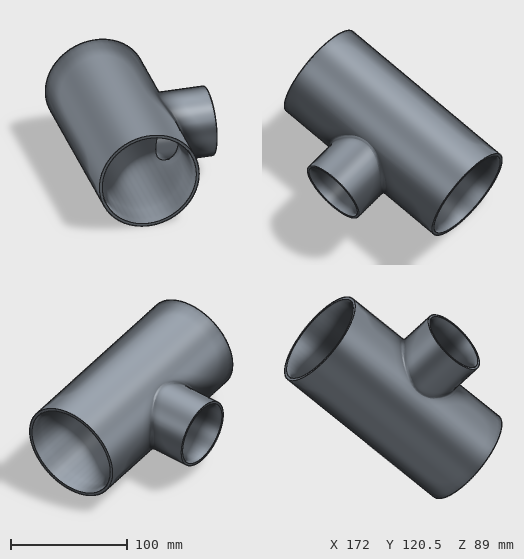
import cadquery as cq

main_length = 172.0
main_outer_diameter = 89.0
main_bore_diameter = 83.8
branch_outer_diameter = 60.4
branch_bore_diameter = 56.2
branch_reach = 76.0
weld_fillet_radius = 3.0


def main_cylinder(diameter):
    """Cylinder along X, centred on the origin, as long as the main pipe."""
    return cq.Workplane("YZ").circle(diameter / 2).extrude(main_length / 2, both=True)


def branch_cylinder(diameter):
    """Cylinder along +Y, from the main pipe axis to the branch end."""
    return cq.Workplane("XZ").circle(diameter / 2).extrude(-branch_reach)


main_body = main_cylinder(main_outer_diameter)
tee_body = main_body.union(branch_cylinder(branch_outer_diameter))

joint_zone = cq.selectors.BoxSelector(
    (-main_outer_diameter / 2, 0, -main_outer_diameter / 2),
    (main_outer_diameter / 2, main_outer_diameter / 2 + weld_fillet_radius, main_outer_diameter / 2),
    boundingbox=True,
)
tee_body = tee_body.edges(joint_zone).fillet(weld_fillet_radius)

result = tee_body.cut(main_cylinder(main_bore_diameter)).cut(branch_cylinder(branch_bore_diameter))